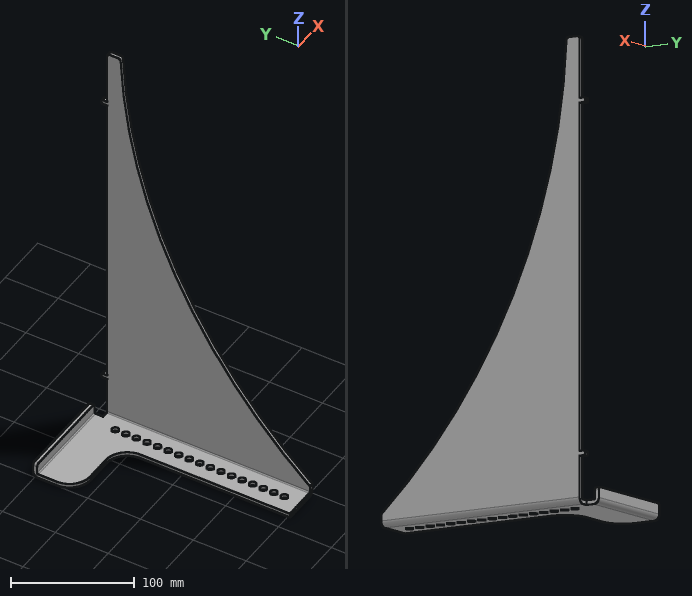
import cadquery as cq
import math

WIDTH = 99.0
DEPTH = 204.0
HEIGHT = 384.0

THICKNESS = 4.0
INNER_BEND = 1.0
OUTER_BEND = INNER_BEND + THICKNESS

ARM_WIDTH = 35.0
LOBE_DEPTH = 42.3
LOBE_RADIUS = 20.0

LIP_LENGTH = 89.0
LIP_HEIGHT = 14.0
LIP_CORNER_RADIUS = 2.5

HOLE_DIAMETER = 6.0
HOLE_COUNT = 17
HOLE_PITCH = 10.0
FIRST_HOLE_Y = 15.0
HOLE_X = 80.0

PLATE_BACK_Y = 192.0
PLATE_TOP_WIDTH = 12.8
PLATE_FRONT_HEIGHT = 10.6
PLATE_EDGE_RADIUS = 524.0
PLATE_CORNER_RADIUS = 2.5

TAB_LENGTH = 5.5
TAB_HEIGHT = 4.0
TAB_TIP_RADIUS = 1.8
TAB_CENTER_HEIGHTS = (41.0, 331.0)


def bent_angle(plane, width, height, length):
    """L-shaped sheet section: a leg along the plane's x, then an upright leg at x = width."""
    diagonal = math.sqrt(0.5)
    bend_x = width - OUTER_BEND
    bend_y = OUTER_BEND
    return (
        cq.Workplane(plane)
        .lineTo(bend_x, 0)
        .threePointArc(
            (bend_x + OUTER_BEND * diagonal, bend_y - OUTER_BEND * diagonal), (width, bend_y)
        )
        .lineTo(width, height)
        .lineTo(width - THICKNESS, height)
        .lineTo(width - THICKNESS, bend_y)
        .threePointArc(
            (bend_x + INNER_BEND * diagonal, bend_y - INNER_BEND * diagonal), (bend_x, THICKNESS)
        )
        .lineTo(0, THICKNESS)
        .close()
        .extrude(length)
    )


def lobe_with_lip():
    """Rear part of the base: it carries the lip and has a rounded front-left corner."""
    lobe_front = DEPTH - LOBE_DEPTH
    plane = cq.Plane(origin=(0, lobe_front, 0), xDir=(0, 1, 0), normal=(1, 0, 0))
    lobe = bent_angle(plane, LOBE_DEPTH, LIP_HEIGHT, LIP_LENGTH)
    lobe = lobe.edges("|Y and >Z").edges("<X or >X").fillet(LIP_CORNER_RADIUS)
    return lobe.edges("|Z and <X and <Y").fillet(LOBE_RADIUS)


def inner_corner():
    """Concave round joining the front of the lobe to the left edge of the arm."""
    lobe_front = DEPTH - LOBE_DEPTH
    arm_left = WIDTH - ARM_WIDTH
    square = cq.Workplane("XY").box(LOBE_RADIUS, LOBE_RADIUS, THICKNESS, centered=False)
    cutter = cq.Workplane("XY").circle(LOBE_RADIUS).extrude(THICKNESS)
    return square.cut(cutter).translate((arm_left - LOBE_RADIUS, lobe_front - LOBE_RADIUS, 0))


def plate_outline():
    """Side plate profile across the whole width: straight back, concave front edge."""
    plate_top_front = PLATE_BACK_Y - PLATE_TOP_WIDTH
    outline = (
        cq.Workplane("YZ")
        .lineTo(PLATE_BACK_Y, 0)
        .lineTo(PLATE_BACK_Y, HEIGHT)
        .lineTo(plate_top_front, HEIGHT)
        .radiusArc((0, PLATE_FRONT_HEIGHT), PLATE_EDGE_RADIUS)
        .close()
        .extrude(WIDTH)
    )
    return outline.edges("|X and >Z").fillet(PLATE_CORNER_RADIUS)


def arm_with_plate():
    """Arm of the base bent up along its right edge into the side plate."""
    arm_left = WIDTH - ARM_WIDTH
    plane = cq.Plane(origin=(arm_left, PLATE_BACK_Y, 0), xDir=(1, 0, 0), normal=(0, -1, 0))
    angle = bent_angle(plane, ARM_WIDTH, HEIGHT, PLATE_BACK_Y)
    return angle.intersect(plate_outline())


def tab(center_z):
    """Small tab with a rounded tip, rooted inside the side plate."""
    root = THICKNESS
    return (
        cq.Workplane("XY")
        .box(THICKNESS, root + TAB_LENGTH, TAB_HEIGHT, centered=(False, False, True))
        .edges("|X and >Y")
        .fillet(TAB_TIP_RADIUS)
        .translate((WIDTH - THICKNESS, PLATE_BACK_Y - root, center_z))
    )


def arm_holes():
    """Cutters for the row of through holes."""
    centers = [(HOLE_X, FIRST_HOLE_Y + index * HOLE_PITCH) for index in range(HOLE_COUNT)]
    return cq.Workplane("XY").pushPoints(centers).circle(HOLE_DIAMETER / 2).extrude(THICKNESS)


bracket = arm_with_plate().union(lobe_with_lip()).union(inner_corner())
for tab_z in TAB_CENTER_HEIGHTS:
    bracket = bracket.union(tab(tab_z))
result = bracket.cut(arm_holes())